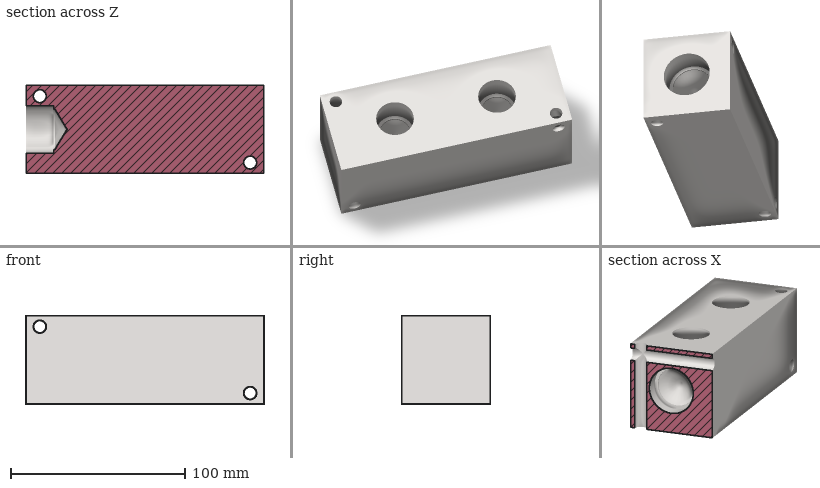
import cadquery as cq
import math

length = 136.53
width = 50.8
height = 50.8

thread_bore_depth = 15.875
drill_step_length = 0.635
drill_point_angle = 118.0

end_port_bore_diameter = 26.92
end_port_drill_diameter = 23.01

top_port_bore_diameter = 21.59
top_port_drill_diameter = 17.48
top_port_spacing = 60.33

mount_hole_diameter = 7.14
mount_hole_end_offset = 7.94
mount_hole_edge_offset = 6.35


def stepped_port(bore_diameter, drill_diameter):
    """Cutter for a port that opens at Z = 0 and runs down to a drill tip."""
    bore_radius = bore_diameter / 2
    drill_radius = drill_diameter / 2
    drill_depth = thread_bore_depth + drill_step_length
    tip_height = drill_radius / math.tan(math.radians(drill_point_angle / 2))
    return (
        cq.Workplane("XZ")
        .lineTo(bore_radius, 0)
        .lineTo(bore_radius, -thread_bore_depth)
        .lineTo(drill_radius, -thread_bore_depth)
        .lineTo(drill_radius, -drill_depth)
        .lineTo(0, -drill_depth - tip_height)
        .close()
        .revolve(360, (0, 0, 0), (0, 1, 0))
    )


def cut_end_port(body):
    """Cut the port that runs along X from the -X end."""
    cutter = stepped_port(end_port_bore_diameter, end_port_drill_diameter)
    cutter = cutter.rotate((0, 0, 0), (0, 1, 0), -90)
    return body.cut(cutter.translate((0, width / 2, height / 2)))


def cut_top_ports(body):
    """Cut the two ports that run down from the top face."""
    cutter = stepped_port(top_port_bore_diameter, top_port_drill_diameter)
    for side in (-1, 1):
        port_x = length / 2 + side * top_port_spacing / 2
        body = body.cut(cutter.translate((port_x, width / 2, height)))
    return body


def cut_mounting_holes(body):
    """Cut one hole along Y and one along Z, both right through, near each end.

    At the -X end they lie near the +Z and +Y sides; at the +X end, near -Z and -Y.
    """
    radius = mount_hole_diameter / 2
    near_x = mount_hole_end_offset
    far_x = length - mount_hole_end_offset
    along_y = cq.Vector(0, 1, 0)
    along_z = cq.Vector(0, 0, 1)
    hole_starts = (
        (cq.Vector(near_x, 0, height - mount_hole_edge_offset), along_y, width),
        (cq.Vector(far_x, 0, mount_hole_edge_offset), along_y, width),
        (cq.Vector(near_x, width - mount_hole_edge_offset, 0), along_z, height),
        (cq.Vector(far_x, mount_hole_edge_offset, 0), along_z, height),
    )
    for start, direction, depth in hole_starts:
        body = body.cut(cq.Workplane(cq.Solid.makeCylinder(radius, depth, start, direction)))
    return body


block = cq.Workplane("XY").box(length, width, height, centered=False)
result = cut_mounting_holes(cut_top_ports(cut_end_port(block)))